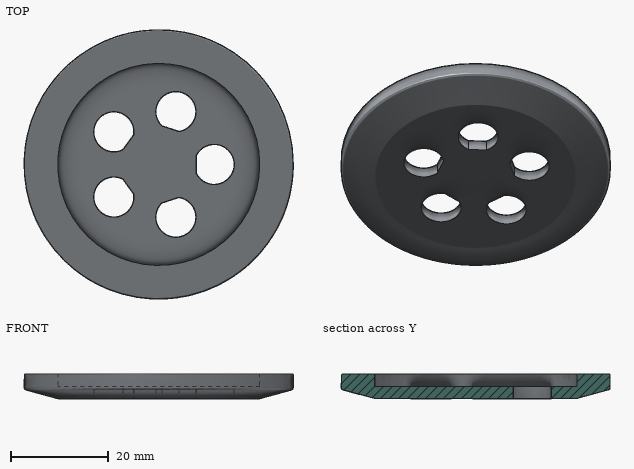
import cadquery as cq

outer_diameter = 55.0
total_height = 5.1
rim_height = 3.2
base_diameter = 40.9
top_edge_radius = 0.3
lower_edge_radius = 0.65

recess_diameter = 41.25
recess_depth = 2.55

hole_count = 5
hole_diameter = 8.15
hole_ring_radius = 11.35
flat_distance = 7.7

outer_radius = outer_diameter / 2
base_radius = base_diameter / 2
rim_bottom = total_height - rim_height


def make_disc():
    """Disc with a conical underside, rounded at the top and lower rim edges."""
    profile = (
        cq.Workplane("XZ")
        .moveTo(0, 0)
        .lineTo(base_radius, 0)
        .lineTo(outer_radius, rim_bottom)
        .lineTo(outer_radius, total_height)
        .lineTo(0, total_height)
        .close()
    )
    disc = profile.revolve(360, (0, 0, 0), (0, 1, 0))
    disc = disc.faces(">Z").edges().fillet(top_edge_radius)
    lower_rim = cq.selectors.BoxSelector(
        (-outer_diameter, -outer_diameter, 0),
        (outer_diameter, outer_diameter, 2 * rim_bottom),
        boundingbox=True,
    )
    return disc.edges("%CIRCLE").edges(lower_rim).edges(">Z").fillet(lower_edge_radius)


def make_recess():
    """Cutter for the round recess."""
    return (
        cq.Workplane("XY")
        .workplane(offset=total_height - recess_depth)
        .circle(recess_diameter / 2)
        .extrude(recess_depth)
    )


def make_hole(angle):
    """Cutter for one D-shaped hole at the given angle around the disc axis."""
    round_hole = (
        cq.Workplane("XY")
        .center(hole_ring_radius, 0)
        .circle(hole_diameter / 2)
        .extrude(total_height)
    )
    flat_side = (
        cq.Workplane("XY")
        .center(flat_distance, 0)
        .rect(hole_diameter, hole_diameter)
        .extrude(total_height)
        .translate((hole_diameter / 2, 0, 0))
    )
    return round_hole.intersect(flat_side).rotate((0, 0, 0), (0, 0, 1), angle)


result = make_disc().cut(make_recess())
for index in range(hole_count):
    result = result.cut(make_hole(index * 360 / hole_count))